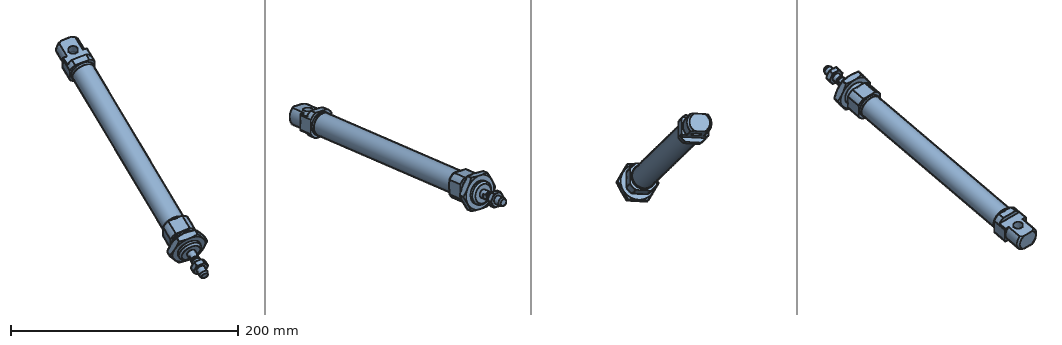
import cadquery as cq
import math

TOTAL_LENGTH = 279.0

CAP_FLATS = 24.3
CAP_DIAMETER = 28.0
COLLAR_DIAMETER = 22.0

TANG_THICKNESS = 16.0
TANG_DIAMETER = 22.3
TANG_CHAMFER_LENGTH = 2.0
TANG_CHAMFER_DEPTH = 2.0
SQUARE_START = 17.3
TANG_END = 25.7
REAR_BODY_END = 32.0
REAR_COLLAR_END = 34.5
PIVOT_DIAMETER = 8.6
PIVOT_X = 13.7

BARREL_DIAMETER = 21.5

FRONT_COLLAR_START = 217.3
FRONT_BODY_START = 219.5
FRONT_BODY_END = 234.5
NECK_DIAMETER = 22.0
NECK_END = 251.5
NECK_CHAMFER = 2.0

NECK_NUT_START = 240.0
NECK_NUT_THICKNESS = 7.0
NECK_NUT_FLATS = 32.0
NECK_NUT_DIAMETER = 36.8

ROD_DIAMETER = 8.0
ROD_FLATS = 7.0
ROD_FLATS_START = 255.5
GROOVE_START = 259.0
GROOVE_END = 261.0
GROOVE_DEPTH = 0.7
ROD_TIP_CHAMFER_LENGTH = 2.2
ROD_TIP_CHAMFER_DEPTH = 0.8

ROD_NUT_START = 265.5
ROD_NUT_THICKNESS = 5.0
ROD_NUT_FLATS = 13.0
ROD_NUT_DIAMETER = 15.0

NUT_CHAMFER_ANGLE = 20


def revolve_profile(points):
    """Revolve (x, radius) points about the X axis, closed along the axis."""
    outline = [(points[0][0], 0)] + points + [(points[-1][0], 0)]
    return cq.Workplane("XY").polyline(outline).close().revolve(360, (0, 0, 0), (1, 0, 0))


def rod_along_x(start, end, diameter):
    """Plain cylinder on the X axis."""
    return cq.Workplane("YZ", origin=(start, 0, 0)).circle(diameter / 2).extrude(end - start)


def bar_along_x(start, end, width, height):
    """Rectangular bar centred on the X axis, width along Y and height along Z."""
    return cq.Workplane("YZ", origin=(start, 0, 0)).rect(width, height).extrude(end - start)


def cap_body(start, end):
    """Round cap body with four wrench flats."""
    flats = bar_along_x(start, end, CAP_FLATS, CAP_FLATS)
    return rod_along_x(start, end, CAP_DIAMETER).intersect(flats)


def make_rear_cap():
    tang_round = revolve_profile([
        (0, TANG_DIAMETER / 2 - TANG_CHAMFER_DEPTH),
        (TANG_CHAMFER_LENGTH, TANG_DIAMETER / 2),
        (SQUARE_START, TANG_DIAMETER / 2),
    ])
    tang_slab = bar_along_x(0, TANG_END, CAP_FLATS, TANG_THICKNESS)
    tang = tang_round.union(cap_body(SQUARE_START, TANG_END)).intersect(tang_slab)

    collar = rod_along_x(REAR_BODY_END, REAR_COLLAR_END, COLLAR_DIAMETER)
    cap = tang.union(cap_body(TANG_END, REAR_BODY_END)).union(collar)

    pivot_hole = (
        cq.Workplane("XY")
        .center(PIVOT_X, 0)
        .circle(PIVOT_DIAMETER / 2)
        .extrude(TANG_THICKNESS, both=True)
    )
    return cap.cut(pivot_hole)


def make_barrel():
    return rod_along_x(REAR_COLLAR_END, FRONT_COLLAR_START, BARREL_DIAMETER)


def make_front_cap():
    neck = rod_along_x(FRONT_BODY_END, NECK_END, NECK_DIAMETER).faces(">X").chamfer(NECK_CHAMFER)
    body = cap_body(FRONT_BODY_START, FRONT_BODY_END)
    collar = rod_along_x(FRONT_COLLAR_START, FRONT_BODY_START, COLLAR_DIAMETER)
    return collar.union(body).union(neck)


def make_nut(start, thickness, across_flats, turned_diameter, bore_diameter):
    """Hexagon nut with flats facing +Z and -Z and both faces chamfered."""
    across_corners = across_flats / math.cos(math.pi / 6)
    hexagon = (
        cq.Workplane("YZ", origin=(start, 0, 0))
        .polygon(6, across_corners)
        .circle(bore_diameter / 2)
        .extrude(thickness)
    )
    face_radius = across_flats / 2
    corner_radius = turned_diameter / 2
    chamfer_length = (corner_radius - face_radius) * math.tan(math.radians(NUT_CHAMFER_ANGLE))
    chamfer_envelope = revolve_profile([
        (start, face_radius),
        (start + chamfer_length, corner_radius),
        (start + thickness - chamfer_length, corner_radius),
        (start + thickness, face_radius),
    ])
    return hexagon.intersect(chamfer_envelope)


def make_rod():
    radius = ROD_DIAMETER / 2
    rod = revolve_profile([
        (NECK_END, radius),
        (GROOVE_START, radius),
        (GROOVE_END, radius - GROOVE_DEPTH),
        (GROOVE_END, radius),
        (TOTAL_LENGTH - ROD_TIP_CHAMFER_LENGTH, radius),
        (TOTAL_LENGTH, radius - ROD_TIP_CHAMFER_DEPTH),
    ])
    flats_sleeve = bar_along_x(ROD_FLATS_START, GROOVE_END, 2 * ROD_DIAMETER, ROD_DIAMETER).cut(
        bar_along_x(ROD_FLATS_START, GROOVE_END, ROD_FLATS, ROD_DIAMETER)
    )
    return rod.cut(flats_sleeve)


rear_cap = make_rear_cap()
barrel = make_barrel()
front_cap = make_front_cap()
neck_nut = make_nut(NECK_NUT_START, NECK_NUT_THICKNESS, NECK_NUT_FLATS, NECK_NUT_DIAMETER, NECK_DIAMETER)
rod = make_rod()
rod_nut = make_nut(ROD_NUT_START, ROD_NUT_THICKNESS, ROD_NUT_FLATS, ROD_NUT_DIAMETER, ROD_DIAMETER)

result = cq.Compound.makeCompound([
    rear_cap.val(),
    barrel.val(),
    front_cap.val(),
    neck_nut.val(),
    rod.val(),
    rod_nut.val(),
])